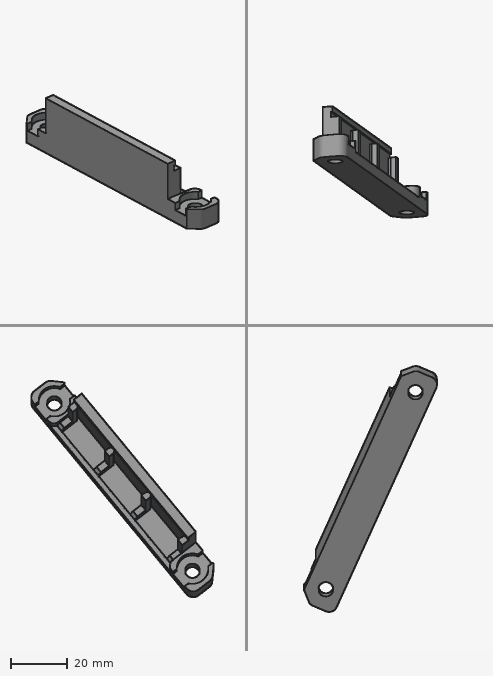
import cadquery as cq

length = 93.8
depth = 13.2
height = 22.2

boss_height = 8.0
boss_length = 14.3
corner_radius = 3.0
inner_corner_radius = 2.5
front_chamfer = 4.0
hole_diameter = 5.25
hole_x = 39.5
hole_y = 7.0
seat_diameter = 11.3
seat_depth = 2.9
front_slot_width = 5.6
back_slot_width = 6.8

wall_thickness = 3.1
lip_reach = 3.7
lip_height = 2.1
rim_thickness = 2.0
rim_height = 4.0
floor_thickness = 2.0

bay_count = 3
rib_width = 2.5
rib_depth = 6.2
rib_height = 18.3
rib_root_inset = 0.8
rib_root_taper = 1.1
foot_slope = 1.3

middle_length = length - 2 * boss_length
middle_end = middle_length / 2
rim_front = depth - rim_thickness
foot_height = rim_height + foot_slope
rib_pitch = (middle_length - rib_width) / bay_count
seat_floor = boss_height - seat_depth


def box(x_min, x_max, y_min, y_max, z_min, z_max):
    size = (x_max - x_min, y_max - y_min, z_max - z_min)
    return cq.Workplane("XY").box(*size, centered=False).translate((x_min, y_min, z_min))


def make_middle():
    """Floor, rim and lipped wall as one cross-section swept along X."""
    section = [
        (0, 0),
        (depth, 0),
        (depth, rim_height),
        (rim_front, rim_height),
        (rim_front, floor_thickness),
        (wall_thickness, floor_thickness),
        (wall_thickness, height - lip_height),
        (lip_reach, height - lip_height),
        (lip_reach, height),
        (0, height),
    ]
    return cq.Workplane("YZ").polyline(section).close().extrude(middle_end, both=True)


def make_rib(x_center, taper_left, taper_right):
    """Upright rib with a low foot sloping down to the rim; the chosen sides taper in at the wall."""
    half_width = rib_width / 2
    left_inset = rib_root_inset if taper_left else 0
    right_inset = rib_root_inset if taper_right else 0
    taper_end = wall_thickness + rib_root_taper
    profile = [
        (0, 0),
        (rim_front, 0),
        (rim_front, rim_height),
        (rim_front - foot_slope, foot_height),
        (rib_depth, foot_height),
        (rib_depth, rib_height),
        (0, rib_height),
    ]
    plan = [
        (left_inset - half_width, 0),
        (half_width - right_inset, 0),
        (half_width - right_inset, wall_thickness),
        (half_width, taper_end),
        (half_width, rim_front),
        (-half_width, rim_front),
        (-half_width, taper_end),
        (left_inset - half_width, wall_thickness),
    ]
    side = cq.Workplane("YZ").polyline(profile).close().extrude(half_width, both=True)
    rib = side.intersect(cq.Workplane("XY").polyline(plan).close().extrude(rib_height))
    return rib.translate((x_center, 0, 0))


def make_right_boss():
    """Boss with rounded back corners, a chamfered outer front corner and a screw seat."""
    outer_end = length / 2
    boss = box(middle_end, outer_end, 0, depth, 0, boss_height)
    boss = boss.edges("|Z and >X and <Y").chamfer(front_chamfer)
    boss = boss.edges("|Z and >Y and >X").fillet(corner_radius)
    boss = boss.edges("|Z and >Y and <X").fillet(inner_corner_radius)
    chamfer_side_corner = cq.selectors.NearestToPointSelector((outer_end, front_chamfer, boss_height / 2))
    boss = boss.edges("|Z").edges(chamfer_side_corner).fillet(corner_radius)

    def slot(width, y_min, y_max):
        half_width = width / 2
        return box(hole_x - half_width, hole_x + half_width, y_min, y_max, seat_floor, boss_height)

    center = cq.Workplane("XY").center(hole_x, hole_y)
    seat = center.circle(seat_diameter / 2).extrude(seat_depth).translate((0, 0, seat_floor))
    hole = center.circle(hole_diameter / 2).extrude(boss_height)
    return (
        boss.cut(seat)
        .cut(hole)
        .cut(slot(front_slot_width, 0, hole_y))
        .cut(slot(back_slot_width, hole_y, depth))
    )


def make_rim_link():
    """Low block continuing the middle section under the boss's rounded inner back corner."""
    link_end = middle_end + inner_corner_radius
    return box(middle_end, link_end, depth - inner_corner_radius, depth, 0, rim_height)


result = make_middle()
for index in range(bay_count + 1):
    rib_x = (index - bay_count / 2) * rib_pitch
    result = result.union(make_rib(rib_x, taper_left=index > 0, taper_right=index < bay_count))
right_end = make_right_boss().union(make_rim_link())
result = result.union(right_end).union(right_end.mirror("YZ"))